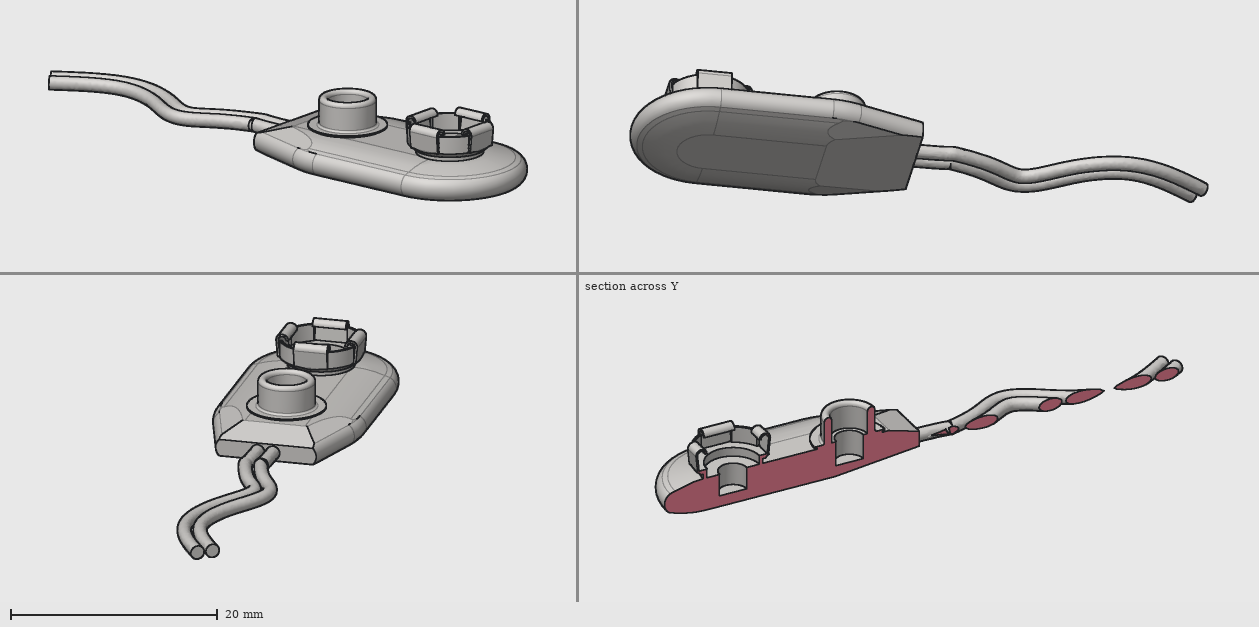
import cadquery as cq
import math


width = 15.0
half_width = width / 2
half_thickness = 1.8
flat_half_width = 3.0
crown_half_width = 6.35
crown_edge_height = 1.25
rim_depth = 0.6
rim_half_height = 1.1
rim_slope = 0.5
cable_face_x = -20.3
cable_face_half_height = 0.85

taper_start_x = -12.5
cable_face_half_width = 5.05
corner_radius = 9.3
top_facet_slope = 0.35
bottom_facet_slope = 0.24
top_ramp_end_x = -17.0
bottom_ramp_end_x = -11.1

post_x = -12.7
post_radius = 2.8
post_top = 5.0
bore_radius = 1.9
post_root_fillet = 0.2
flange_radius = 3.85
flange_foot_radius = 3.5
flange_top = 2.1
flange_edge = 0.1

collar_inner_radius = 2.85
collar_radius = 3.3
cup_bottom = 2.25
cup_bottom_radius = 3.5
cup_radius = 4.1
cup_floor = 2.8
cup_top = 4.5
cup_wall = 0.2

clip_count = 4
clip_width = 3.35
clip_top = half_thickness * 2 + 1.5
clip_thickness = 0.2
clip_roll_radius = 0.6
clip_roll_offset = 3.45
clip_foot_offset = 3.9

pin_hole_radius = 1.5
pin_hole_bottom = -0.55

wire_radius = 0.7
wire_spacing = 1.55
cable_end_angle = 33.0
cable_points = [
    (-48.4, -1.6),
    (-40.95, 1.5),
    (-35.4, -0.4),
    (-30.95, -2.5),
    (-27.6, -0.95),
    (-24.15, 0.2),
    (cable_face_x + 0.85, 0.05),
]


def half_section(plane):
    """Half of the housing cross-section: crown, rounded rim, crown."""
    sag = math.hypot(crown_half_width - flat_half_width, half_thickness - crown_edge_height)
    crown_radius = sag**2 / (2 * (half_thickness - crown_edge_height))
    crown_angle = math.asin((crown_half_width - flat_half_width) / crown_radius) / 2
    mid_y = flat_half_width + crown_radius * math.sin(crown_angle)
    mid_z = half_thickness - crown_radius * (1 - math.cos(crown_angle))
    rim_y = half_width - rim_depth
    return (
        cq.Workplane(plane)
        .moveTo(0, -half_thickness)
        .lineTo(flat_half_width, -half_thickness)
        .threePointArc((mid_y, -mid_z), (crown_half_width, -crown_edge_height))
        .lineTo(rim_y, -rim_half_height)
        .threePointArc((half_width, 0), (rim_y, rim_half_height))
        .lineTo(crown_half_width, crown_edge_height)
        .threePointArc((mid_y, mid_z), (flat_half_width, half_thickness))
        .lineTo(0, half_thickness)
        .close()
    )


def make_dome():
    return half_section("XZ").revolve(180, (0, 0), (0, 1)).rotate((0, 0, 0), (0, 0, 1), -90)


taper_angle = math.atan2(half_width - cable_face_half_width, taper_start_x - cable_face_x)
taper_direction = (math.cos(taper_angle), math.sin(taper_angle))
run_out = 5.65


def on_taper(distance):
    """Point on the tapered edge, measured back from its corner with the straight side."""
    return (taper_start_x - distance * taper_direction[0], half_width - distance * taper_direction[1])


def taper_start():
    taper_length = (taper_start_x - cable_face_x) / taper_direction[0]
    return on_taper(taper_length + run_out)


def side_section(bottom_slope, top_slope, reach):
    """Rounded rim that opens inward between two slopes, square to the tapered edge."""
    plane = cq.Plane(
        origin=(*taper_start(), 0),
        xDir=(-taper_direction[1], taper_direction[0], 0),
        normal=(*taper_direction, 0),
    )
    slope_run = reach - rim_depth
    return (
        cq.Workplane(plane)
        .moveTo(-rim_depth, -rim_half_height)
        .threePointArc((0, 0), (-rim_depth, rim_half_height))
        .lineTo(-reach, rim_half_height + top_slope * slope_run)
        .lineTo(-reach, -rim_half_height - bottom_slope * slope_run)
        .close()
    )


def rim_envelope():
    """Space inside the +Y rim along the taper, its rounded corner and the straight side."""
    tangent_length = corner_radius * math.tan(taper_angle / 2)
    arc_end = (taper_start_x + tangent_length, half_width)
    arc_mid = (
        arc_end[0] - corner_radius * math.sin(taper_angle / 2),
        half_width - corner_radius * (1 - math.cos(taper_angle / 2)),
    )
    path = (
        cq.Workplane("XY")
        .moveTo(*taper_start())
        .lineTo(*on_taper(tangent_length))
        .threePointArc(arc_mid, arc_end)
        .lineTo(run_out, half_width)
    )
    return side_section(rim_slope, rim_slope, half_width + 0.55).sweep(path)


def facet_envelope():
    """Space between the two flat facets that follow the +Y taper."""
    return side_section(bottom_facet_slope, top_facet_slope, width).extrude(width * 2)


def ramp_envelope():
    """Space between the two ramps that thin the housing toward the cable face."""
    return (
        cq.Workplane("XZ")
        .moveTo(cable_face_x, -cable_face_half_height)
        .lineTo(bottom_ramp_end_x, -half_thickness)
        .lineTo(0.55, -half_thickness)
        .lineTo(0.55, half_thickness)
        .lineTo(top_ramp_end_x, half_thickness)
        .lineTo(cable_face_x, cable_face_half_height)
        .close()
        .extrude(half_width + 0.55, both=True)
    )


def make_housing():
    half = half_section("YZ").extrude(cable_face_x)
    half = half.intersect(rim_envelope()).intersect(facet_envelope())
    tapered = half.union(half.mirror("XZ")).intersect(ramp_envelope())
    return tapered.union(make_dome())


def make_post():
    flange = (
        cq.Workplane("XZ")
        .moveTo(0, 0)
        .lineTo(flange_foot_radius, 0)
        .lineTo(flange_foot_radius, half_thickness)
        .lineTo(flange_radius, flange_top - flange_edge)
        .lineTo(flange_radius, flange_top)
        .lineTo(0, flange_top)
        .close()
        .revolve()
    )
    lip_radius = (post_radius - bore_radius) / 2
    lip_z = post_top - lip_radius
    tube = (
        cq.Workplane("XZ")
        .moveTo(bore_radius, flange_top)
        .lineTo(post_radius, flange_top)
        .lineTo(post_radius, lip_z)
        .threePointArc((bore_radius + lip_radius, post_top), (bore_radius, lip_z))
        .close()
        .revolve(360, (0, 0), (0, 1))
    )
    root = (
        cq.Workplane("XZ")
        .moveTo(post_radius, flange_top)
        .lineTo(post_radius + post_root_fillet, flange_top)
        .radiusArc((post_radius, flange_top + post_root_fillet), post_root_fillet)
        .close()
        .revolve(360, (0, 0), (0, 1))
    )
    return flange.union(tube).union(root).translate((post_x, 0, 0))


def make_cup():
    """Collar that flares into a round cup, cut flat where the clips stand."""
    cup = (
        cq.Workplane("XZ")
        .moveTo(collar_inner_radius, 0)
        .lineTo(collar_radius, 0)
        .lineTo(collar_radius, cup_bottom)
        .lineTo(cup_bottom_radius, cup_bottom)
        .lineTo(cup_radius, cup_floor)
        .lineTo(cup_radius, cup_top)
        .lineTo(cup_radius - cup_wall, cup_top)
        .lineTo(cup_radius - cup_wall, cup_floor)
        .lineTo(collar_inner_radius, cup_floor)
        .close()
        .revolve(360, (0, 0), (0, 1))
    )
    flats = cq.Workplane("XY").rect(2 * clip_foot_offset, 2 * clip_foot_offset).extrude(clip_top)
    gap_height = clip_top - cup_floor
    gap = cq.Workplane("XY", origin=(0, 0, cup_floor + gap_height / 2))
    gaps = gap.box(4 * cup_radius, clip_width, gap_height).union(
        gap.box(clip_width, 4 * cup_radius, gap_height)
    )
    return cup.intersect(flats).cut(gaps)


def make_clip():
    """Strip that rises from the cup and rolls over inward."""
    roll_z = clip_top - clip_roll_radius
    inner_radius = clip_roll_radius - clip_thickness
    return (
        cq.Workplane("XZ")
        .moveTo(clip_foot_offset, cup_floor)
        .lineTo(clip_roll_offset + clip_roll_radius, roll_z)
        .threePointArc((clip_roll_offset, clip_top), (clip_roll_offset - clip_roll_radius, roll_z))
        .lineTo(clip_roll_offset - inner_radius, roll_z)
        .threePointArc((clip_roll_offset, clip_top - clip_thickness), (clip_roll_offset + inner_radius, roll_z))
        .lineTo(clip_foot_offset - clip_thickness, cup_floor)
        .close()
        .extrude(clip_width / 2, both=True)
    )


def make_socket():
    socket = make_cup()
    clip = make_clip()
    for index in range(clip_count):
        socket = socket.union(clip.rotate((0, 0, 0), (0, 0, 1), index * 360 / clip_count))
    return socket


def make_cable():
    end_angle = math.radians(cable_end_angle)
    end_direction = (math.cos(end_angle), math.sin(end_angle))
    path = cq.Workplane("XY").spline(cable_points, tangents=[end_direction, (1, 0)])
    end_plane = cq.Plane(
        origin=(*cable_points[0], 0),
        xDir=(-end_direction[1], end_direction[0], 0),
        normal=(*end_direction, 0),
    )
    wire_centers = [(-wire_spacing / 2, 0), (wire_spacing / 2, 0)]
    return cq.Workplane(end_plane).pushPoints(wire_centers).circle(wire_radius).sweep(path)


def pin_hole(x):
    hole = cq.Workplane("XY", origin=(x, 0, pin_hole_bottom)).circle(pin_hole_radius)
    return hole.extrude(clip_top - pin_hole_bottom)


result = (
    make_housing()
    .union(make_post())
    .union(make_socket())
    .cut(pin_hole(post_x))
    .cut(pin_hole(0))
    .union(make_cable())
)